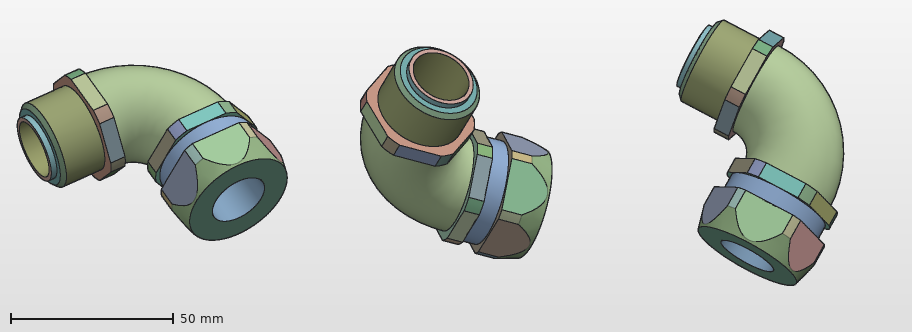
import cadquery as cq
import math

bend_radius = 22.95
tube_diameter = 29.95
bore_diameter = 18.5

flange_thickness = 5.1
flange_across_flats = 33.1
flange_corner_diameter = 35.9
flange_end = bend_radius + flange_thickness

spigot_diameter = 28.3
spigot_chamfer = 1.4
tip_diameter = 21.3
tip_length = 2.0
inlet_length = 45.0
spigot_length = inlet_length - flange_end - tip_length

collar_diameter = 33.0
collar_length = 5.8
nut_start = flange_end + collar_length
outlet_length = 48.05
nut_length = outlet_length - nut_start
nut_across_flats = 35.0
nut_corner_diameter = 38.7
nut_end_diameter = 34.6
nut_taper_length = 7.5


def inlet_plane(distance):
    """Plane across the inlet leg, facing outward along -Y."""
    return cq.Workplane("XZ", origin=(0, -distance, 0))


def outlet_plane(distance):
    """Plane across the outlet leg, facing outward along +X."""
    return cq.Workplane("YZ", origin=(distance, 0, 0))


def rounded_hexagon(plane, across_flats, corner_diameter, length):
    """Hexagonal prism with flats facing +Z and -Z and its corners turned round."""
    across_corners = across_flats / math.cos(math.pi / 6)
    hexagon = plane.polygon(6, across_corners).extrude(length)
    return hexagon.intersect(plane.circle(corner_diameter / 2).extrude(length))


def elbow(diameter):
    """Quarter-turn pipe between the two flanges."""
    profile = inlet_plane(bend_radius).circle(diameter / 2)
    return profile.revolve(90, (bend_radius, 0.65, 0), (bend_radius, 0, 0))


def inlet_leg():
    flange = rounded_hexagon(
        inlet_plane(bend_radius), flange_across_flats, flange_corner_diameter, flange_thickness
    )
    spigot = inlet_plane(flange_end).circle(spigot_diameter / 2).extrude(spigot_length)
    spigot = spigot.faces("<Y").chamfer(spigot_chamfer)
    tip = inlet_plane(inlet_length - tip_length).circle(tip_diameter / 2).extrude(tip_length)
    return flange.union(spigot).union(tip)


def tapered_nut():
    """Hexagonal nut whose outer end is turned to a cone."""
    nut = rounded_hexagon(outlet_plane(nut_start), nut_across_flats, nut_corner_diameter, nut_length)
    taper_start = outlet_length - nut_taper_length
    envelope = (
        cq.Workplane("XY")
        .moveTo(nut_start, 0)
        .lineTo(nut_start, nut_corner_diameter / 2)
        .lineTo(taper_start, nut_corner_diameter / 2)
        .lineTo(outlet_length, nut_end_diameter / 2)
        .lineTo(outlet_length, 0)
        .close()
        .revolve(360, (0, 0, 0), (1, 0, 0))
    )
    return nut.intersect(envelope)


def outlet_leg():
    flange = rounded_hexagon(
        outlet_plane(bend_radius), flange_across_flats, flange_corner_diameter, flange_thickness
    )
    collar = outlet_plane(flange_end).circle(collar_diameter / 2).extrude(collar_length)
    return flange.union(collar).union(tapered_nut())


def bored_leg(leg, end_plane, length):
    """Leg with the passage drilled straight through it from its outer end."""
    return leg.cut(end_plane.circle(bore_diameter / 2).extrude(-length))


bend = elbow(tube_diameter).cut(elbow(bore_diameter))
inlet = bored_leg(inlet_leg(), inlet_plane(inlet_length), inlet_length - bend_radius)
outlet = bored_leg(outlet_leg(), outlet_plane(outlet_length), outlet_length - bend_radius)
result = bend.union(inlet).union(outlet)